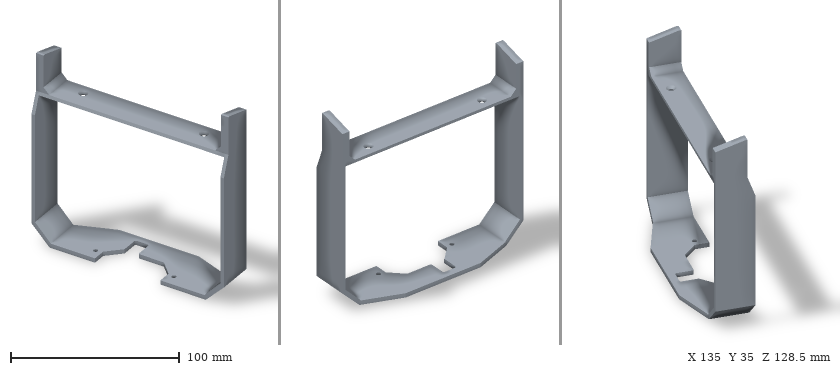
import cadquery as cq


width = 135.0
height = 128.5
depth = 35.0
frame_depth = 25.0
wall = 2.4
floor_thickness = 3.0
half_width = width / 2

outer_corner = 12.7
inner_corner_x = 11.2
inner_corner_z = 11.3

shelf_top = 102.3
shelf_thickness = 2.0
shelf_bottom = shelf_top - shelf_thickness

ear_thickness = 5.3
ear_foot = 4.0
ear_rear_drop = 5.0
ear_tip_flat = 1.5

front_setback = 5.0
setback_start = 88.7

tab_half_width = 28.0

notch_half_width = 23.0
notch_depth = 18.1
notch_corner = 9.0
slot_left = -13.8
slot_right = -4.0
slot_end = 30.0
slot_radius = 1.1

hole_diameter = 3.0
floor_hole_x = 27.4
floor_hole_y = 7.8
shelf_hole_x = 42.4
shelf_hole_y = 17.5
countersink_diameter = 6.1
countersink_angle = 90


def front_outline(points):
    """Extrude an XZ outline over the whole depth of the frame."""
    return cq.Workplane("XZ").polyline(points).close().extrude(-frame_depth)


def mirrored(points):
    """Complete a right-hand outline with its mirror image about X = 0."""
    return points + [(-x, z) for x, z in reversed(points)]


def make_frame():
    ear_inner = half_width - ear_thickness
    outside = front_outline(mirrored([
        (half_width - outer_corner, 0),
        (half_width, outer_corner),
        (half_width, height),
        (ear_inner, height),
        (ear_inner, shelf_top + ear_foot),
        (ear_inner - ear_foot, shelf_top),
    ]))
    inner_x = half_width - wall
    opening = front_outline(mirrored([
        (inner_x - inner_corner_x, floor_thickness),
        (inner_x, floor_thickness + inner_corner_z),
        (inner_x, shelf_bottom),
    ]))
    return outside.cut(opening)


def make_side_profile():
    """Side silhouette: set-back upper front edge and ear tops sloping down behind a narrow flat."""
    points = [
        (0, 0),
        (frame_depth, 0),
        (frame_depth, height - ear_rear_drop),
        (front_setback + ear_tip_flat, height),
        (front_setback, height),
        (front_setback, shelf_top),
        (0, setback_start),
    ]
    return cq.Workplane("YZ").polyline(points).close().extrude(half_width, both=True)


def make_rear_tab():
    base_half_width = half_width - outer_corner
    points = mirrored([(base_half_width, frame_depth), (tab_half_width, depth)])
    return cq.Workplane("XY").polyline(points).close().extrude(floor_thickness)


def make_floor_cutout():
    """Notch with angled inner corners, running into a slot with rounded corners."""
    inner_half_width = notch_half_width - notch_corner
    straight_depth = notch_depth - notch_corner
    notch = (
        cq.Workplane("XY")
        .polyline(mirrored([
            (notch_half_width, 0),
            (notch_half_width, straight_depth),
            (inner_half_width, notch_depth),
        ]))
        .close()
        .extrude(floor_thickness)
    )
    slot = (
        cq.Workplane("XY")
        .moveTo(slot_left, straight_depth)
        .lineTo(slot_left, slot_end - slot_radius)
        .radiusArc((slot_left + slot_radius, slot_end), slot_radius)
        .lineTo(slot_right - slot_radius, slot_end)
        .radiusArc((slot_right, slot_end - slot_radius), slot_radius)
        .lineTo(slot_right, notch_depth + slot_radius)
        .radiusArc((slot_right + slot_radius, notch_depth), -slot_radius)
        .lineTo(slot_right + slot_radius, straight_depth)
        .close()
        .extrude(floor_thickness)
    )
    return notch.union(slot)


def drill_floor_holes(body):
    centres = [(side * floor_hole_x, floor_hole_y) for side in (-1, 1)]
    drills = cq.Workplane("XY").pushPoints(centres).circle(hole_diameter / 2).extrude(floor_thickness)
    return body.cut(drills)


def drill_shelf_holes(body):
    centres = [(side * shelf_hole_x, shelf_hole_y) for side in (-1, 1)]
    return (
        body.copyWorkplane(cq.Workplane("XY", origin=(0, 0, shelf_top)))
        .pushPoints(centres)
        .cskHole(hole_diameter, countersink_diameter, countersink_angle, depth=shelf_thickness)
    )


body = make_frame().intersect(make_side_profile())
body = body.union(make_rear_tab()).cut(make_floor_cutout())
result = drill_shelf_holes(drill_floor_holes(body))